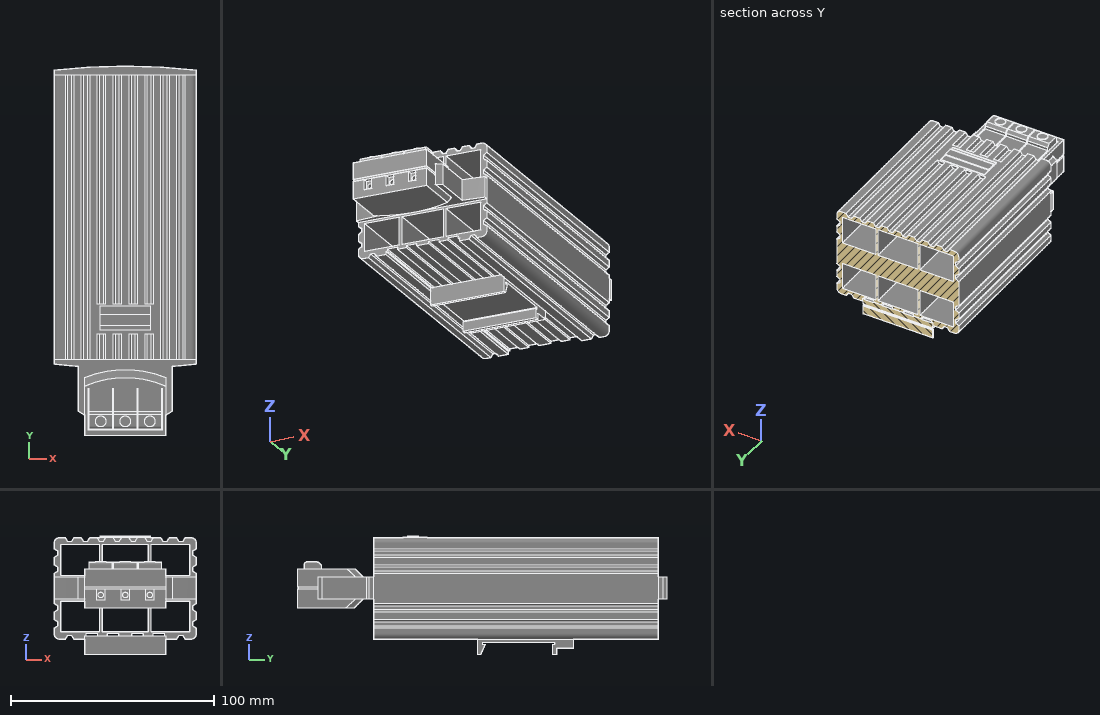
import cadquery as cq


sink_width = 70.0
sink_height = 50.0
sink_length = 140.0
corner_radius = 2.7
wall = 3.4
floor_wall = 3.8
core_height = 12.8
web_thickness = 1.5
web_x = 12.0

groove_top = 4.2
groove_floor = 1.9
groove_depth = 1.8
top_groove_pitch = 7.82
top_groove_count = 8
side_groove_offsets = (9.5, 17.4)
bottom_groove_x = 3.5 * top_groove_pitch

pad_width = 30.0
pad_length = 14.8
pad_y = 19.9

channel_depth = 1.65
slot_width = 5.5
slot_depth = 1.1
slot_offsets = (6.05, 16.45)

cap_height = 11.0
cap_z = 0.25
cap_edge = 2.3
cap_crown = 4.3
tongue_width = 46.4
tongue_reach = 27.4
tongue_chamfer_y = 2.0

terminal_width = 40.0
terminal_half_height = 9.65
terminal_reach = 37.43
terminal_crown = 5.0
terminal_arc_radius = 53.0
terminal_gap = 1.1
parting_recess = 0.3
terminal_pitch = 12.06
terminal_columns = (-terminal_pitch, 0.0, terminal_pitch)

lever_groove = 0.5
lever_groove_depth = 1.0
lever_rear = 14.3
lever_front = 34.2
bump_rear = 25.5
bump_height = 3.3
bump_radius = 1.4
bump_chamfer = 1.6
groove_columns = tuple((i - 1.5) * terminal_pitch for i in range(4))

disc_diameter = 5.3
disc_height = 0.3
disc_y = -30.4

entry_width = 4.0
entry_height = 5.4
entry_depth = 3.0
wire_hole_diameter = 2.7
wire_hole_z = -3.2
wire_hole_depth = 6.0

badge_width = 25.0
badge_length = 11.8
badge_thickness = 0.3
badge_y = 20.4
band_length = 5.3
band_y = 19.4
band_height = 0.45

clip_width = 40.0
clip_front = 51.1
clip_rear = 98.4
clip_plate_bottom = -26.6
clip_block_bottom = -29.4
clip_bottom = -32.5
hook_top = -27.5


def box(x0, x1, y0, y1, z0, z1):
    return cq.Workplane("XY").box(x1 - x0, y1 - y0, z1 - z0, centered=False).translate((x0, y0, z0))


def centred_box(width, y0, y1, z0, z1):
    return box(-width / 2, width / 2, y0, y1, z0, z1)


def groove_cutter(x, z, turn):
    """Trapezoid groove along Y, opening towards +Z before being turned about Y."""
    overshoot = 1.0
    cutter = (
        cq.Workplane("XZ")
        .polyline([
            (-groove_floor / 2, -groove_depth),
            (groove_floor / 2, -groove_depth),
            (groove_top / 2, 0),
            (groove_top / 2, overshoot),
            (-groove_top / 2, overshoot),
            (-groove_top / 2, 0),
        ])
        .close()
        .extrude(-sink_length)
    )
    return cutter.rotate((0, 0, 0), (0, 1, 0), turn).translate((x, 0, z))


def make_heat_sink():
    half_width = sink_width / 2
    half_height = sink_height / 2
    sink = centred_box(sink_width, 0, sink_length, -half_height, half_height)
    sink = sink.edges("|Y").fillet(corner_radius)

    inner = half_width - wall
    web_inner = web_x - web_thickness / 2
    web_outer = web_x + web_thickness / 2
    for x0, x1 in ((-inner, -web_outer), (-web_inner, web_inner), (web_outer, inner)):
        for z0, z1 in ((core_height / 2, half_height - wall), (floor_wall - half_height, -core_height / 2)):
            sink = sink.cut(box(x0, x1, 0, sink_length, z0, z1))

    for i in range(top_groove_count):
        x = (i - (top_groove_count - 1) / 2) * top_groove_pitch
        sink = sink.cut(groove_cutter(x, half_height, 0))
    for side in (-1, 1):
        sink = sink.cut(groove_cutter(side * bottom_groove_x, -half_height, 180))
        for offset in side_groove_offsets:
            for z in (-offset, offset):
                sink = sink.cut(groove_cutter(side * half_width, z, side * 90))

    pad_start = pad_y - pad_length / 2
    sink = sink.union(
        centred_box(pad_width, pad_start, pad_start + pad_length, half_height - groove_depth, half_height)
    )

    roof = channel_depth - half_height
    sink = sink.cut(centred_box(clip_width, 0, sink_length, -half_height, roof))
    for offset in slot_offsets:
        for x in (-offset, offset):
            sink = sink.cut(
                box(x - slot_width / 2, x + slot_width / 2, 0, sink_length, roof, roof + slot_depth)
            )
    return sink


def cap_plate(direction):
    """Crowned plate standing off an end face at Y = 0 in the given Y direction."""
    half_width = sink_width / 2
    return (
        cq.Workplane("XY")
        .workplane(offset=cap_z - cap_height / 2)
        .moveTo(-half_width, 0)
        .lineTo(-half_width, direction * cap_edge)
        .threePointArc((0, direction * cap_crown), (half_width, direction * cap_edge))
        .lineTo(half_width, 0)
        .close()
        .extrude(cap_height)
    )


def make_rear_cap():
    return cap_plate(1).translate((0, sink_length, 0))


def make_front_cap():
    half_width = tongue_width / 2
    tip = terminal_width / 2
    shoulder = tongue_chamfer_y - tongue_reach
    tongue = (
        cq.Workplane("XY")
        .workplane(offset=cap_z - cap_height / 2)
        .polyline([
            (-half_width, 0),
            (-half_width, shoulder),
            (-tip, -tongue_reach),
            (tip, -tongue_reach),
            (half_width, shoulder),
            (half_width, 0),
        ])
        .close()
        .extrude(cap_height)
    )
    blade = centred_box(
        terminal_width,
        parting_recess - terminal_reach,
        -tongue_reach,
        cap_z - terminal_gap / 2,
        cap_z + terminal_gap / 2,
    )
    return cap_plate(-1).union(tongue).union(blade)


def terminal_half(side):
    """Half of the terminal block above (side 1) or below (side -1) the tongue."""
    tongue_face = cap_z + side * cap_height / 2
    outer_face = side * terminal_half_height
    slope = terminal_half_height - abs(tongue_face)
    top_radius = terminal_arc_radius - slope

    cone = (
        cq.Workplane("XZ")
        .polyline([
            (0, cap_z),
            (terminal_arc_radius, cap_z),
            (terminal_arc_radius, tongue_face),
            (top_radius, outer_face),
            (0, outer_face),
        ])
        .close()
        .revolve(360, (0, 0, 0), (0, 1, 0))
        .translate((0, -terminal_crown - terminal_arc_radius, 0))
    )
    inner_face = cap_z + side * terminal_gap / 2
    z0, z1 = sorted((inner_face, outer_face))
    half = centred_box(terminal_width, -terminal_reach, 0, z0, z1).intersect(cone)
    tongue_space = centred_box(
        terminal_width, -tongue_reach, 0, cap_z - cap_height / 2, cap_z + cap_height / 2
    )
    return half.cut(tongue_space)


def make_upper_terminal():
    top = terminal_half_height
    upper = terminal_half(1)

    bump = centred_box(3 * terminal_pitch, -lever_front, -bump_rear, top, top + bump_height)
    bump = bump.edges(">Z and <Y").fillet(bump_radius)
    bump = bump.edges(">Z and >Y").chamfer(bump_chamfer)
    upper = upper.union(bump)

    floor = top - lever_groove_depth
    for x in groove_columns:
        upper = upper.cut(
            box(x - lever_groove / 2, x + lever_groove / 2, -lever_front - lever_groove, -lever_rear,
                floor, top + bump_height)
        )
    front_groove = 3 * terminal_pitch + lever_groove
    return upper.cut(
        centred_box(front_groove, -lever_front - lever_groove, -lever_front, floor, top)
    )


def make_lower_terminal():
    lower = terminal_half(-1)
    entry_top = cap_z - terminal_gap / 2
    for x in terminal_columns:
        lower = lower.cut(
            box(x - entry_width / 2, x + entry_width / 2, -terminal_reach, entry_depth - terminal_reach,
                entry_top - entry_height, entry_top)
        )
        wire_hole = (
            cq.Workplane("XZ", origin=(x, -terminal_reach, wire_hole_z))
            .circle(wire_hole_diameter / 2)
            .extrude(-wire_hole_depth)
        )
        lower = lower.cut(wire_hole)
    return lower


def make_disc(x):
    return (
        cq.Workplane("XY", origin=(x, disc_y, terminal_half_height + bump_height))
        .circle(disc_diameter / 2)
        .extrude(disc_height)
    )


def make_badge():
    base = sink_height / 2
    plate_top = base + badge_thickness
    plate = centred_box(
        badge_width, badge_y - badge_length / 2, badge_y + badge_length / 2, base, plate_top
    )
    band = centred_box(
        badge_width, band_y - band_length / 2, band_y + band_length / 2, plate_top, plate_top + band_height
    )
    return plate.union(band)


def make_clip():
    """Constant section with a fixed hook at the rear and a sloped hook at the front."""
    plate_top = channel_depth - sink_height / 2
    leg_outer, leg_notch, leg_inner = 90.1, 89.0, 87.9
    hook_inner, hook_tip, hook_toe = 53.6, 55.0, 52.7
    return (
        cq.Workplane("YZ")
        .polyline([
            (clip_front, plate_top),
            (clip_rear, plate_top),
            (clip_rear, clip_block_bottom),
            (leg_outer, clip_block_bottom),
            (leg_outer, clip_bottom),
            (leg_inner, clip_bottom),
            (leg_inner, hook_top),
            (leg_notch, hook_top),
            (leg_notch, clip_plate_bottom),
            (hook_inner, clip_plate_bottom),
            (hook_inner, hook_top),
            (hook_tip, hook_top),
            (hook_toe, clip_bottom),
            (clip_front, clip_bottom),
        ])
        .close()
        .extrude(clip_width / 2, both=True)
    )


heat_sink = make_heat_sink()
front_cap = make_front_cap()
rear_cap = make_rear_cap()
upper_terminal = make_upper_terminal()
lower_terminal = make_lower_terminal()
discs = [make_disc(x) for x in terminal_columns]
badge = make_badge()
clip = make_clip()

result = cq.Compound.makeCompound([
    heat_sink.val(),
    front_cap.val(),
    rear_cap.val(),
    upper_terminal.val(),
    lower_terminal.val(),
    *[disc.val() for disc in discs],
    badge.val(),
    clip.val(),
])